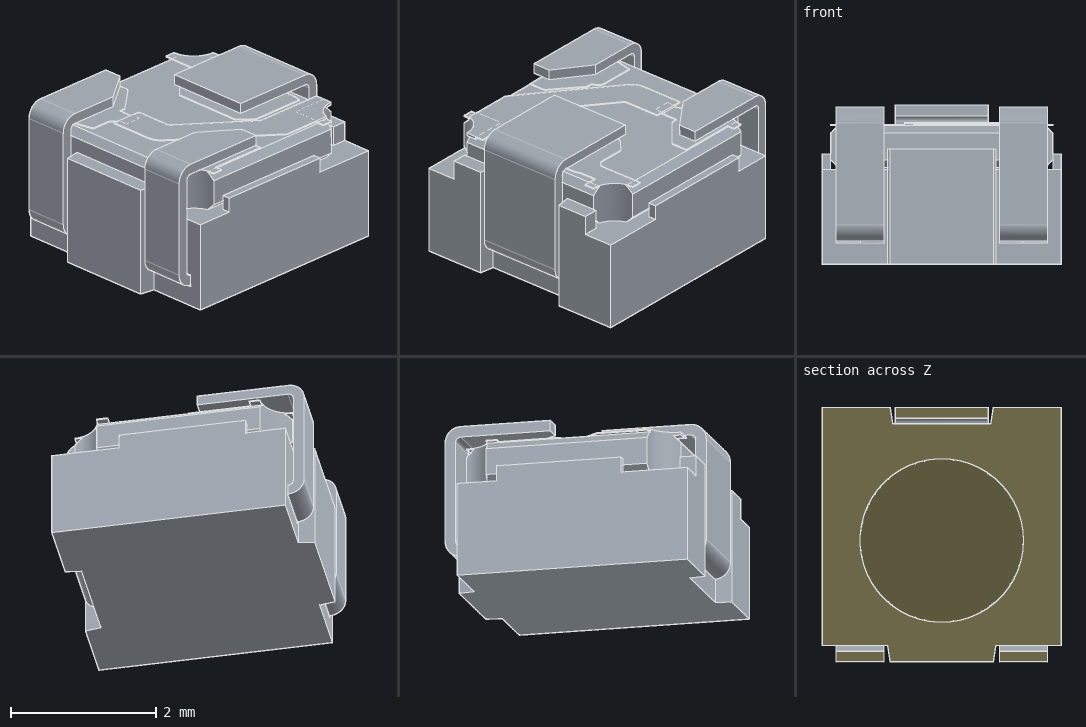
import cadquery as cq
import math

WIDTH = 3.3
STEP = 0.225
DEPTH = 3.51 - STEP
HALF_WIDTH = WIDTH / 2

FLOOR_Z = 1.31
WALL_TOP_Z = 1.595
RAIL_TOP_Z = 1.525
RAIL_LENGTH = 1.775
CORE_Y = 1.45
BACK_WALL_HALF = 1.19
TONGUE_ROOT_HALF = 0.748
RECESS_ROOT_HALF = 0.675
FLARE = 0.035

STRAP_THICKNESS = 0.15
FRONT_STRAP_TOP_Z = 2.173
BACK_STRAP_TOP_Z = 2.2
STRAP_BOTTOM_Z = 0.323
FRONT_STRAP_WIDTH = 0.667
FRONT_STRAP_X = 1.125
FRONT_STRAP_REACH = 1.278
FRONT_STRAP_TIP = 0.277
FRONT_STRAP_TAPER = 0.53
BACK_STRAP_WIDTH = 1.285
BACK_STRAP_REACH = 1.265
SLOT_GAP = 0.028

CHIP_SIDE = DEPTH - STEP
CHIP_HALF = CHIP_SIDE / 2
CHIP_BOTTOM_Z = 1.337
CHIP_TOP_Z = 1.915
CHIP_CHAMFER = 0.105
CORNER_RADIUS = 0.383
CORE_RADIUS = 1.123
PAD_THICKNESS = 0.015
TRACE_GAP = 0.015
TRACE_THICKNESS = 0.015

SLOT_BOTTOM_Z = STRAP_BOTTOM_Z - SLOT_GAP
PAD_TOP_Z = CHIP_TOP_Z + PAD_THICKNESS
TRACE_BOTTOM_Z = PAD_TOP_Z + TRACE_GAP
TRACE_TOP_Z = TRACE_BOTTOM_Z + TRACE_THICKNESS


def box(x_range, y_range, z_range):
    """Axis-aligned box between the given limits."""
    size = [high - low for low, high in (x_range, y_range, z_range)]
    corner = (x_range[0], y_range[0], z_range[0])
    return cq.Workplane("XY").box(*size, centered=False).translate(corner)


def prism(outline, bottom_z, height):
    """Upright prism over a polygon whose corners are (x, y) or (x, y, corner radius)."""
    path = cq.Workplane("XY").workplane(offset=bottom_z)
    started = False
    for index, corner in enumerate(outline):
        here = cq.Vector(*corner[:2])
        radius = corner[2] if len(corner) > 2 else 0
        if radius == 0:
            arc = [here]
        else:
            to_last = (cq.Vector(*outline[index - 1][:2]) - here).normalized()
            to_next = (cq.Vector(*outline[(index + 1) % len(outline)][:2]) - here).normalized()
            half_angle = to_last.getAngle(to_next) / 2
            setback = radius / math.tan(half_angle)
            bisector = (to_last + to_next).normalized()
            middle = here + bisector * (radius / math.sin(half_angle) - radius)
            arc = [here + to_last * setback, middle, here + to_next * setback]
        if started:
            path = path.lineTo(arc[0].x, arc[0].y)
        else:
            path = path.moveTo(arc[0].x, arc[0].y)
            started = True
        if len(arc) == 3:
            path = path.threePointArc((arc[1].x, arc[1].y), (arc[2].x, arc[2].y))
    return path.close().extrude(height)


def mirrored(outline):
    """The same outline on the other side of the YZ plane."""
    return [(-corner[0], *corner[1:]) for corner in reversed(outline)]


def wedge(root_half, tip_half, root_y, height):
    """Trapezoid plate one step deep, standing on z = 0."""
    tip_y = root_y + STEP
    outline = [(-root_half, root_y), (root_half, root_y), (tip_half, tip_y), (-tip_half, tip_y)]
    return prism(outline, 0, height)


def strap(width, reach, top_z):
    """C-shaped strap off a face at y = 0, pointing to -Y, centred on x = 0."""
    inner_radius = STEP - STRAP_THICKNESS
    upper_z = top_z - STEP
    lower_z = STRAP_BOTTOM_Z + STEP
    outer_mid = STEP * math.sqrt(0.5)
    inner_mid = inner_radius * math.sqrt(0.5)
    return (
        cq.Workplane("YZ")
        .moveTo(reach, top_z)
        .lineTo(0, top_z)
        .threePointArc((-outer_mid, upper_z + outer_mid), (-STEP, upper_z))
        .lineTo(-STEP, lower_z)
        .threePointArc((-outer_mid, lower_z - outer_mid), (0, STRAP_BOTTOM_Z))
        .lineTo(0, lower_z - inner_radius)
        .threePointArc((-inner_mid, lower_z - inner_mid), (-inner_radius, lower_z))
        .lineTo(-inner_radius, upper_z)
        .threePointArc((-inner_mid, upper_z + inner_mid), (0, top_z - STRAP_THICKNESS))
        .lineTo(reach, top_z - STRAP_THICKNESS)
        .close()
        .extrude(width / 2, both=True)
    )


def front_strap():
    """Left front strap with the inner corner of its free end cut off."""
    half = FRONT_STRAP_WIDTH / 2
    cut_corner = [
        (FRONT_STRAP_TIP - half, FRONT_STRAP_REACH),
        (half, FRONT_STRAP_REACH - FRONT_STRAP_TAPER),
        (half, FRONT_STRAP_REACH),
    ]
    body = strap(FRONT_STRAP_WIDTH, FRONT_STRAP_REACH, FRONT_STRAP_TOP_Z)
    body = body.cut(prism(cut_corner, 0, FRONT_STRAP_TOP_Z))
    return body.translate((-FRONT_STRAP_X, 0, 0))


def make_housing():
    body = box((-HALF_WIDTH, HALF_WIDTH), (0, DEPTH), (0, FLOOR_Z))

    body = body.union(
        box((-BACK_WALL_HALF, BACK_WALL_HALF), (CHIP_SIDE, DEPTH), (0, WALL_TOP_Z))
    )
    rail_y = (CORE_Y - RAIL_LENGTH / 2, CORE_Y + RAIL_LENGTH / 2)
    for rail_x in ((-HALF_WIDTH, -CHIP_HALF), (CHIP_HALF, HALF_WIDTH)):
        body = body.union(box(rail_x, rail_y, (0, RAIL_TOP_Z)))

    body = body.union(
        wedge(TONGUE_ROOT_HALF - FLARE, TONGUE_ROOT_HALF, -STEP, WALL_TOP_Z)
    )
    body = body.cut(
        wedge(RECESS_ROOT_HALF, RECESS_ROOT_HALF + FLARE, CHIP_SIDE, WALL_TOP_Z)
    )

    core_hole = cq.Workplane("XY").workplane(offset=SLOT_BOTTOM_Z).center(0, CORE_Y)
    body = body.cut(core_hole.circle(CORE_RADIUS).extrude(FLOOR_Z - SLOT_BOTTOM_Z))
    slot_half = FRONT_STRAP_WIDTH / 2
    for slot_x in (-FRONT_STRAP_X, FRONT_STRAP_X):
        slot_range = (slot_x - slot_half, slot_x + slot_half)
        body = body.cut(box(slot_range, (0, CORE_Y), (SLOT_BOTTOM_Z, STRAP_BOTTOM_Z)))

    left_strap = front_strap()
    back_strap = strap(BACK_STRAP_WIDTH, BACK_STRAP_REACH, BACK_STRAP_TOP_Z)
    back_strap = back_strap.mirror("XZ").translate((0, CHIP_SIDE, 0))
    for metal in (left_strap, left_strap.mirror("YZ"), back_strap):
        body = body.union(metal)
    return body


METAL_EDGE_X = 1.418
PAD_EDGE_X = 0.995
FLAP_BACK_Y = 2.52
FLAP_FRONT_Y = 0.535

BACK_PAD_HALF = 0.74
BACK_PAD_FRONT_Y = 1.79
BACK_PAD_BACK_Y = 2.845
BACK_PAD_BEVEL_X = 0.2
BACK_PAD_BEVEL_Y = 0.21
BACK_PAD_CROWN = 0.028
BACK_PAD_CROWN_HALF = BACK_STRAP_WIDTH / 2

FRONT_PAD_INNER_X = 0.642
FRONT_PAD_INNER_Y = 0.21
FRONT_PAD_OUTER_Y = 0.137
FRONT_PAD_STEP_X = 0.77
FRONT_PAD_STEP_Y = 0.855
FRONT_PAD_SLANT_Y = 0.955
FRONT_PAD_BACK_X = 1.16
FRONT_PAD_BACK_Y = 1.408
PAD_ROUND = 0.123

TRACE_START_X = -0.515
TRACE_FRONT_Y = 0.49
TRACE_BEND_Y = 0.972
TRACE_BACK_X = 0.865
TRACE_SLOPE = 1.25
OUTER_BEND_X = 0.267
INNER_BEND_X = 0.063
OUTER_BEND_RADIUS = 0.267
OUTER_TURN_Y = TRACE_FRONT_Y + (METAL_EDGE_X - OUTER_BEND_X) * TRACE_SLOPE
INNER_TURN_Y = TRACE_BEND_Y + (TRACE_BACK_X - INNER_BEND_X) * TRACE_SLOPE
BRIDGE_FRONT_Y = 0.605
BRIDGE_END_X = -0.385
SMALL_ROUND = 0.07

BACK_PAD = [
    (-CHIP_HALF, CHIP_SIDE),
    (-CHIP_HALF, FLAP_BACK_Y),
    (-BACK_PAD_HALF, FLAP_BACK_Y, PAD_ROUND),
    (-BACK_PAD_HALF, BACK_PAD_FRONT_Y + BACK_PAD_BEVEL_Y, SMALL_ROUND),
    (-BACK_PAD_HALF + BACK_PAD_BEVEL_X, BACK_PAD_FRONT_Y),
    (BACK_PAD_HALF - BACK_PAD_BEVEL_X, BACK_PAD_FRONT_Y),
    (BACK_PAD_HALF, BACK_PAD_FRONT_Y + BACK_PAD_BEVEL_Y, SMALL_ROUND),
    (BACK_PAD_HALF, BACK_PAD_BACK_Y),
    (BACK_PAD_CROWN_HALF, BACK_PAD_BACK_Y + BACK_PAD_CROWN),
    (-BACK_PAD_CROWN_HALF, BACK_PAD_BACK_Y + BACK_PAD_CROWN),
    (-BACK_PAD_HALF, BACK_PAD_BACK_Y),
    (-PAD_EDGE_X, BACK_PAD_BACK_Y),
    (-PAD_EDGE_X, CHIP_SIDE),
]

BACK_CORNER_PAD = [
    (CHIP_HALF, CHIP_SIDE),
    (PAD_EDGE_X, CHIP_SIDE),
    (PAD_EDGE_X, FLAP_BACK_Y),
    (CHIP_HALF, FLAP_BACK_Y),
]

FRONT_PAD = [
    (-CHIP_HALF, 0),
    (-PAD_EDGE_X, 0),
    (-PAD_EDGE_X, FRONT_PAD_OUTER_Y),
    (-FRONT_PAD_INNER_X, FRONT_PAD_INNER_Y),
    (-FRONT_PAD_INNER_X, FRONT_PAD_STEP_Y, PAD_ROUND),
    (-FRONT_PAD_STEP_X, FRONT_PAD_STEP_Y),
    (-FRONT_PAD_STEP_X, FRONT_PAD_SLANT_Y, SMALL_ROUND),
    (-FRONT_PAD_BACK_X, FRONT_PAD_BACK_Y, SMALL_ROUND),
    (-METAL_EDGE_X, FRONT_PAD_BACK_Y),
    (-METAL_EDGE_X, FLAP_FRONT_Y),
    (-CHIP_HALF, FLAP_FRONT_Y),
]

PAD_BRIDGE = [
    (-FRONT_PAD_STEP_X, FRONT_PAD_STEP_Y),
    (-FRONT_PAD_STEP_X, FRONT_PAD_INNER_Y),
    (-FRONT_PAD_INNER_X, FRONT_PAD_INNER_Y),
    (-FRONT_PAD_INNER_X, BRIDGE_FRONT_Y, PAD_ROUND),
    (BRIDGE_END_X, BRIDGE_FRONT_Y),
    (BRIDGE_END_X, FRONT_PAD_STEP_Y),
]

TRACE = [
    (TRACE_START_X, TRACE_BEND_Y),
    (TRACE_START_X, TRACE_FRONT_Y),
    (OUTER_BEND_X, TRACE_FRONT_Y, OUTER_BEND_RADIUS),
    (METAL_EDGE_X, OUTER_TURN_Y),
    (METAL_EDGE_X, CHIP_SIDE),
    (TRACE_BACK_X, CHIP_SIDE),
    (TRACE_BACK_X, INNER_TURN_Y, SMALL_ROUND),
    (INNER_BEND_X, TRACE_BEND_Y, SMALL_ROUND),
]


def make_chip():
    body = box((-CHIP_HALF, CHIP_HALF), (0, CHIP_SIDE), (CHIP_BOTTOM_Z, CHIP_TOP_Z))
    body = body.faces("<Z or >Z").edges().chamfer(CHIP_CHAMFER)

    pads = (BACK_PAD, BACK_CORNER_PAD, FRONT_PAD, mirrored(FRONT_PAD), PAD_BRIDGE)
    for outline in pads:
        body = body.union(prism(outline, CHIP_TOP_Z, PAD_THICKNESS))

    body = body.union(prism(TRACE, TRACE_BOTTOM_Z, TRACE_THICKNESS))
    under_trace = prism(TRACE, PAD_TOP_Z, TRACE_GAP)
    for outline in (BACK_CORNER_PAD, PAD_BRIDGE):
        body = body.union(prism(outline, PAD_TOP_Z, TRACE_GAP).intersect(under_trace))

    notches = cq.Workplane("XY").workplane(offset=CHIP_BOTTOM_Z).pushPoints(
        [(x, y) for x in (-CHIP_HALF, CHIP_HALF) for y in (0, CHIP_SIDE)]
    )
    body = body.cut(notches.circle(CORNER_RADIUS).extrude(TRACE_TOP_Z - CHIP_BOTTOM_Z))

    core = cq.Workplane("XY").workplane(offset=SLOT_BOTTOM_Z).center(0, CORE_Y)
    return body.union(core.circle(CORE_RADIUS).extrude(CHIP_BOTTOM_Z - SLOT_BOTTOM_Z))


housing = make_housing()
chip = make_chip()
result = cq.Compound.makeCompound([housing.solids().val(), chip.solids().val()])